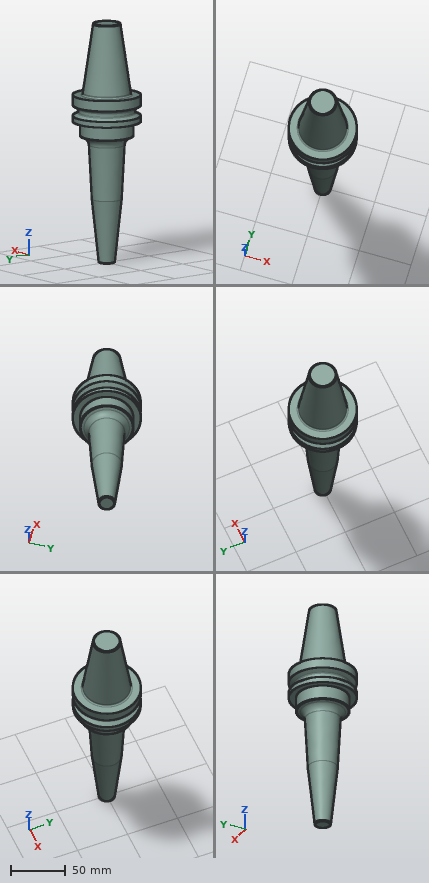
import cadquery as cq
import math

total_length = 225.5
gauge_level = 160.0
flange_top = 158.0
flange_bottom = 133.0
collar_bottom = 119.0
shoulder_bend = 117.9
neck_top = 111.0
taper_break = 60.0

gauge_radius = 22.3
flange_radius = 31.5
groove_radius = 26.5
collar_radius = 24.8
shoulder_radius = 21.0
neck_radius = 16.7
taper_break_radius = 14.0
tip_radius = 7.7

taper_slope = 7 / 24 / 2
top_radius = gauge_radius - taper_slope * (total_length - gauge_level)

groove_centre = 143.4
groove_mouth = 10.0
groove_flank = (flange_radius - groove_radius) * math.tan(math.radians(30))
groove_upper = groove_centre + groove_mouth / 2
groove_lower = groove_centre - groove_mouth / 2
groove_fillet = 1.0

foot_fillet = 1.4
end_chamfer = 1.0
collar_chamfer = 0.7
blend_radius = 8.8


def revolved_body():
    """Revolve the half outline of the holder about Z, from tip to spindle end."""
    return (
        cq.Workplane("XZ")
        .moveTo(0, 0)
        .lineTo(tip_radius - end_chamfer, 0)
        .lineTo(tip_radius, end_chamfer)
        .lineTo(taper_break_radius, taper_break)
        .lineTo(neck_radius, neck_top)
        .radiusArc((shoulder_radius, shoulder_bend), blend_radius)
        .lineTo(collar_radius - collar_chamfer, collar_bottom)
        .lineTo(collar_radius, collar_bottom + collar_chamfer)
        .lineTo(collar_radius, flange_bottom)
        .lineTo(flange_radius, flange_bottom)
        .lineTo(flange_radius, groove_lower)
        .lineTo(groove_radius, groove_lower + groove_flank)
        .lineTo(groove_radius, groove_upper - groove_flank)
        .lineTo(flange_radius, groove_upper)
        .lineTo(flange_radius, flange_top)
        .lineTo(gauge_radius + foot_fillet, flange_top)
        .radiusArc((gauge_radius, flange_top + foot_fillet), foot_fillet)
        .lineTo(gauge_radius, gauge_level)
        .lineTo(top_radius, total_length - end_chamfer)
        .lineTo(top_radius - end_chamfer, total_length)
        .lineTo(0, total_length)
        .close()
        .revolve(360, (0, 0, 0), (0, 1, 0))
    )


def round_groove_floor(body):
    """Round the two inner corners of the gripper groove."""
    reach = groove_radius + groove_fillet / 2
    corners = cq.selectors.BoxSelector(
        (-reach, -reach, groove_lower),
        (reach, reach, groove_upper),
        boundingbox=True,
    )
    return body.edges("%CIRCLE").edges(corners).fillet(groove_fillet)


result = round_groove_floor(revolved_body())